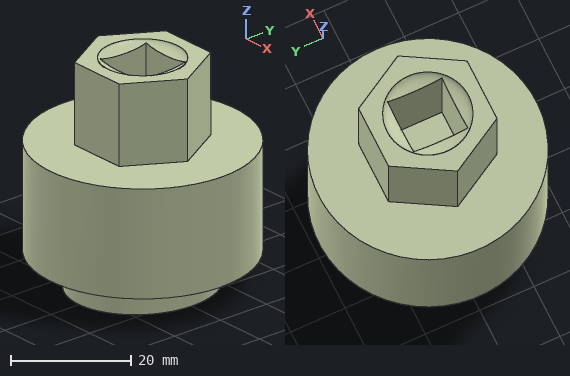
import cadquery as cq
import math

total_height = 41.0
body_diameter = 40.0
body_height = 20.0
hex_across_flats = 19.95
hex_height = 15.0
boss_height = total_height - body_height - hex_height

boss_width_x = 25.25
boss_width_y = 27.75

socket_side = hex_across_flats / 2
socket_depth = hex_height
dimple_diameter = 15.0
dimple_depth = 1.5

body_top = boss_height + body_height


def oval_boss():
    return (
        cq.Workplane("XY")
        .ellipse(boss_width_x / 2, boss_width_y / 2)
        .extrude(boss_height)
    )


def round_body():
    return (
        cq.Workplane("XY")
        .workplane(offset=boss_height)
        .circle(body_diameter / 2)
        .extrude(body_height)
    )


def hex_head():
    across_corners = hex_across_flats / math.cos(math.pi / 6)
    return (
        cq.Workplane("XY")
        .workplane(offset=body_top)
        .polygon(6, across_corners)
        .extrude(hex_height)
    )


def drive_socket():
    square = (
        cq.Workplane("XY")
        .workplane(offset=total_height)
        .rect(socket_side, socket_side)
        .extrude(-socket_depth)
    )
    dimple = (
        cq.Workplane("XZ", origin=(0, 0, total_height))
        .moveTo(0, -dimple_depth)
        .ellipseArc(dimple_diameter / 2, dimple_depth, 270, 360, startAtCurrent=True)
        .lineTo(0, 0)
        .close()
        .revolve(360, (0, 0), (0, 1))
    )
    return square.union(dimple)


result = oval_boss().union(round_body()).union(hex_head()).cut(drive_socket())